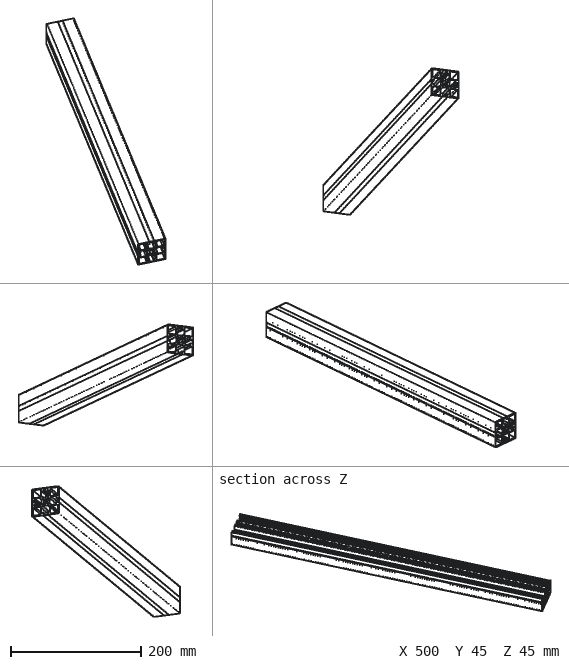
import cadquery as cq

length = 500.0
side = 45.0
corner_radius = 2.5

wall = 2.0
cell_size = 12.5

channel_width = 13.5
channel_chamfer = 2.5
lip_depth = 5.0
mouth_width = 7.0

skin = 1.75
tear_width = 8.0
tear_skin = 0.25
tear_notch_width = 0.75

core_size = 14.5
bore_diameter = 8.0
bore_notch_width = 2.0
bore_notch_reach = 7.0

half = side / 2
cell_centre = half - wall - cell_size / 2
slot_floor = core_size / 2


def bar(size_y, size_z, y=0, z=0):
    """Full-length bar along X with its section centred on (y, z)."""
    return cq.Workplane("YZ").center(y, z).rect(size_y, size_z).extrude(length / 2, both=True)


def slot():
    """T-slot of the +Z side, closed by a skin that is thinned along both edges for tearing out."""
    channel_y = channel_width / 2
    channel_top = half - lip_depth
    tear_y = tear_width / 2
    right_side = [
        (channel_y - channel_chamfer, slot_floor),
        (channel_y, slot_floor + channel_chamfer),
        (channel_y, channel_top),
        (mouth_width / 2, channel_top),
        (tear_y, half - tear_skin),
        (tear_y - tear_notch_width, half - skin),
    ]
    left_side = [(-y, z) for y, z in reversed(right_side)]
    outline = cq.Workplane("YZ").polyline(right_side + left_side).close()
    return outline.extrude(length / 2, both=True)


def bore():
    """Round core hole with four diagonal notches."""
    hole = cq.Workplane("YZ").circle(bore_diameter / 2).extrude(length / 2, both=True)
    notch_pair = bar(2 * bore_notch_reach, bore_notch_width)
    for angle in (45, 135):
        hole = hole.union(notch_pair.rotate((0, 0, 0), (1, 0, 0), angle))
    return hole


result = bar(side, side).edges("|X").fillet(corner_radius)

for y in (-cell_centre, cell_centre):
    for z in (-cell_centre, cell_centre):
        result = result.cut(bar(cell_size, cell_size, y, z))

for quarter in range(4):
    result = result.cut(slot().rotate((0, 0, 0), (1, 0, 0), 90 * quarter))

result = result.cut(bore())